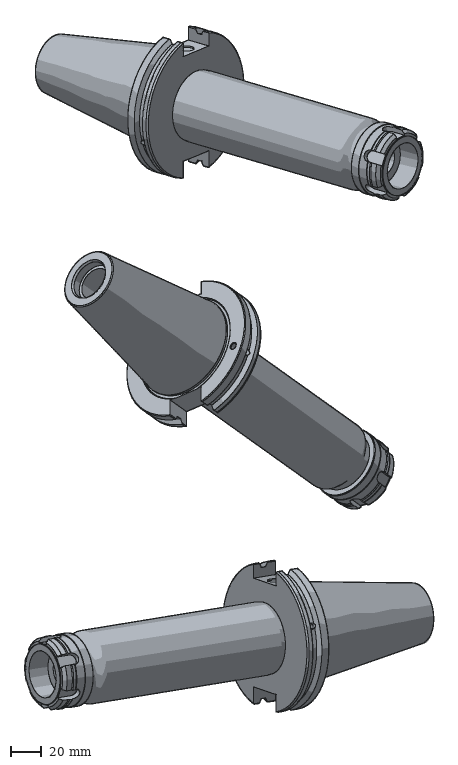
import cadquery as cq
import math

gauge_radius = 69.85 / 2
taper_length = 101.6
taper_slope = 7 / 24 / 2
small_end_chamfer = 0.63
small_face_radius = 38.92 / 2
small_cone_radius = gauge_radius - (taper_length - small_end_chamfer) * taper_slope

flange_radius = 98.43 / 2
flange_front = 1.59
flange_back = 19.05
flange_front_chamfer = 0.6
flange_back_chamfer_length = 1.4
flange_back_chamfer_height = 0.6
neck_radius = 34.3
relief_floor_radius = 36.3
relief_mouth_radius = 36.9
relief_depth = 0.6
v_center = 11.1
v_floor_radius = 46
v_floor_width = 3.3
v_wall_angle = math.radians(30)
v_depth = flange_radius - v_floor_radius
v_top_width = v_floor_width + 2 * v_depth * math.tan(v_wall_angle)

slot_width = 25.7
slot_edge_chamfer = 0.6
upper_slot_floor = 37.7
lower_slot_floor = 35.3
dimple_diameter = 9.53
dimple_depth = 1
drill_half_angle = math.radians(59)

coolant_angle = 20
coolant_radius = 41.8
coolant_face_diameter = 4.13
coolant_mouth_diameter = 5
coolant_mouth_depth = 0.5
coolant_radial_diameter = 4.2

shank_radius = 48.5 / 2
shank_base_end = 22
shank_base_radius = 23.9
shank_end = 160.4
shank_round_radius = 4
nose_fillet_radius = 2.5
shoulder_angle = math.radians(45)
nose_radius = 40 / 2
nose_end = 180

bore_radius = 19.18 / 2
thread_radius = 21.97 / 2
thread_end = -taper_length + 45
counterbore_radius = 26.2 / 2
counterbore_depth = 7
mouth_radius = 28 / 2
mouth_depth = 1.5

nut_start = 171.2
nut_end = 195
collar_radius = shank_radius
collar_end = 177.7
collar_chamfer = 0.5
nut_radius = 23.8
nut_shoulder = 192
nut_hub_start = 194.2
nut_hub_radius = 20
nut_shoulder_drop = 2
nut_opening_radius = 31 / 2
band_start = 184.2
band_end = 187.8
band_chamfer = 0.8
wrench_slot_count = 6
wrench_slot_width = 7.8
wrench_slot_start = 180.3
wrench_slot_floor = 20.3
wrench_slot_turn = 3.5


def revolve_profile(points):
    """Turn an (x, radius) outline about the X axis."""
    return cq.Workplane("XY").polyline(points).close().revolve(360, (0, 0, 0), (1, 0, 0))


def axial_cylinder(radius, start, end):
    return cq.Workplane("YZ", origin=(start, 0, 0)).circle(radius).extrude(end - start)


def arc_points(x, radius, arc_radius, side):
    """Middle and far point of an arc that leaves the cylinder at x.

    Side -1 rounds down toward +X, side 1 rises toward -X.
    """
    return [(x - side * arc_radius * math.sin(angle), radius + side * arc_radius * (1 - math.cos(angle)))
            for angle in (shoulder_angle / 2, shoulder_angle)]


def chamfered_mouth(start, depth, outer_radius, inner_radius):
    """Cone that opens a hole of inner_radius from the face at start."""
    return revolve_profile([
        (start, 0), (start, outer_radius), (start + depth, inner_radius), (start + depth, 0)])


def holder_blank():
    lower_profile = [
        (-taper_length, 0),
        (-taper_length, small_face_radius),
        (-taper_length + small_end_chamfer, small_cone_radius),
        (0, gauge_radius),
        (gauge_radius - neck_radius, neck_radius),
        (flange_front + relief_depth, neck_radius),
        (flange_front + relief_depth, relief_floor_radius),
        (flange_front, relief_mouth_radius),
        (flange_front, flange_radius - flange_front_chamfer),
        (flange_front + flange_front_chamfer, flange_radius),
        (v_center - v_top_width / 2, flange_radius),
        (v_center - v_floor_width / 2, v_floor_radius),
        (v_center + v_floor_width / 2, v_floor_radius),
        (v_center + v_top_width / 2, flange_radius),
        (flange_back - flange_back_chamfer_length, flange_radius),
        (flange_back, flange_radius - flange_back_chamfer_height),
        (flange_back, shank_base_radius),
        (shank_base_end, shank_radius),
        (shank_end, shank_radius),
    ]
    round_middle, round_end = arc_points(shank_end, shank_radius, shank_round_radius, -1)
    fillet_drop = nose_fillet_radius * (1 - math.cos(shoulder_angle))
    cone_length = (round_end[1] - nose_radius - fillet_drop) / math.tan(shoulder_angle)
    cone_end = round_end[0] + cone_length
    nose_start = cone_end + nose_fillet_radius * math.sin(shoulder_angle)
    fillet_middle, fillet_start = arc_points(nose_start, nose_radius, nose_fillet_radius, 1)
    return (cq.Workplane("XY").polyline(lower_profile)
            .threePointArc(round_middle, round_end)
            .lineTo(*fillet_start)
            .threePointArc(fillet_middle, (nose_start, nose_radius))
            .lineTo(nose_end, nose_radius).lineTo(nose_end, 0).close()
            .revolve(360, (0, 0, 0), (1, 0, 0)))


def drive_slot(floor, side):
    """Square slot through the rim, its mouth opened by a 45 degree chamfer."""
    half_width = slot_width / 2
    mouth = math.sqrt(flange_radius**2 - (half_width + slot_edge_chamfer) ** 2)
    chamfer_start = mouth - slot_edge_chamfer
    overrun = flange_radius - chamfer_start
    half_outline = [
        (half_width, floor),
        (half_width, chamfer_start),
        (half_width + overrun, flange_radius),
    ]
    outline = half_outline + [(-y, z) for y, z in reversed(half_outline)]
    return (cq.Workplane("YZ", origin=(flange_front, 0, 0))
            .polyline([(y, side * z) for y, z in outline]).close()
            .extrude(flange_back - flange_front))


def dimple():
    radius = dimple_diameter / 2
    tip = radius / math.tan(drill_half_angle)
    bottom = upper_slot_floor - dimple_depth
    profile = [(0, upper_slot_floor), (radius, upper_slot_floor), (radius, bottom), (0, bottom - tip)]
    return (cq.Workplane("XZ").polyline(profile).close().revolve(360, (0, 0, 0), (0, 1, 0))
            .translate((v_center, 0, 0)))


def coolant_passage():
    axial = (cq.Workplane("YZ", origin=(flange_front, coolant_radius, 0))
             .circle(coolant_face_diameter / 2).extrude(v_center - flange_front))
    radial = (cq.Workplane("XZ", origin=(v_center, coolant_radius, 0))
              .circle(coolant_radial_diameter / 2).extrude(-(flange_radius - coolant_radius)))
    mouth = chamfered_mouth(flange_front, coolant_mouth_depth,
                            coolant_mouth_diameter / 2, coolant_face_diameter / 2)
    return axial.union(radial).union(mouth.translate((0, coolant_radius, 0)))


def make_holder():
    holder = holder_blank()
    holder = holder.cut(drive_slot(upper_slot_floor, 1))
    holder = holder.cut(drive_slot(lower_slot_floor, -1))
    holder = holder.cut(dimple())
    for angle in (coolant_angle, coolant_angle + 180):
        holder = holder.cut(coolant_passage().rotate((0, 0, 0), (1, 0, 0), angle))
    holder = holder.cut(axial_cylinder(bore_radius, -taper_length, nose_end))
    holder = holder.cut(axial_cylinder(thread_radius, -taper_length, thread_end))
    holder = holder.cut(axial_cylinder(counterbore_radius, -taper_length, -taper_length + counterbore_depth))
    return holder.cut(chamfered_mouth(-taper_length, mouth_depth, mouth_radius, counterbore_radius))


def wrench_slot():
    """Round-ended slot, open toward the nut face, cut down to a flat floor."""
    radius = wrench_slot_width / 2
    straight_start = wrench_slot_start + radius
    return (cq.Workplane("XY", origin=(0, 0, wrench_slot_floor))
            .moveTo(nut_end, -radius).lineTo(straight_start, -radius)
            .threePointArc((wrench_slot_start, 0), (straight_start, radius))
            .lineTo(nut_end, radius).close().extrude(collar_radius))


def make_nut():
    nut = revolve_profile([
        (nut_start, nose_radius),
        (nut_start, collar_radius - collar_chamfer),
        (nut_start + collar_chamfer, collar_radius),
        (collar_end, collar_radius),
        (collar_end, nut_radius),
        (band_start, nut_radius),
        (band_start + band_chamfer, collar_radius),
        (band_end - band_chamfer, collar_radius),
        (band_end, nut_radius),
        (nut_shoulder, nut_radius),
        (nut_hub_start, nut_radius - nut_shoulder_drop),
        (nut_hub_start, nut_hub_radius),
        (nut_end, nut_hub_radius),
        (nut_end, nut_opening_radius),
        (nose_end, nut_opening_radius),
        (nose_end, nose_radius),
    ])
    for index in range(wrench_slot_count):
        angle = wrench_slot_turn + index * 360 / wrench_slot_count
        nut = nut.cut(wrench_slot().rotate((0, 0, 0), (1, 0, 0), angle))
    return nut


holder = make_holder()
nut = make_nut()
result = cq.Compound.makeCompound([holder.val(), nut.val()])